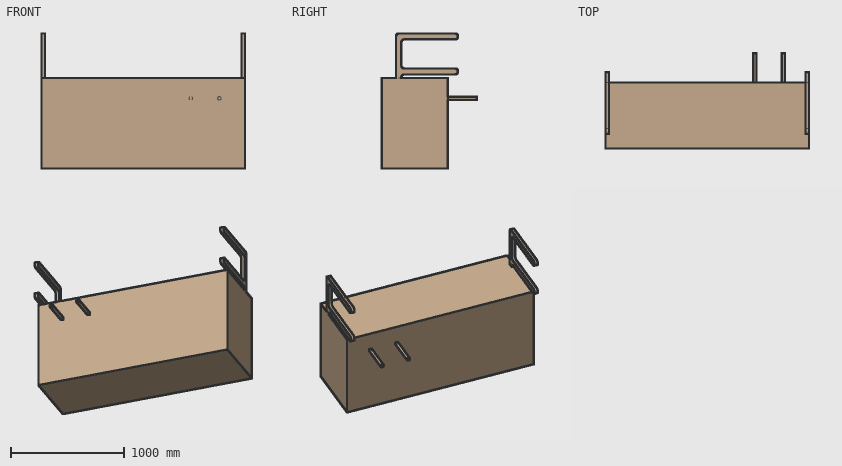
import cadquery as cq

box_width = 1799.0
box_depth = 586.0
box_height = 800.0

bracket_thickness = 32.0
bracket_height = 394.0
bracket_front = 128.0
post_depth = 49.0
arm_reach = 549.0
arm_height = 54.0
arm_spacing = 310.0
tip_radius = 25.0
corner_radius = 25.0

pin_diameter = 30.0
pin_length = 257.0
pin_drop = 180.0
pin_right_inset = 227.0
pin_spacing = 252.0

total_height = box_height + bracket_height
arm_bottoms = [
    total_height - arm_height,
    total_height - arm_spacing - arm_height,
]


def slab(y, z, depth, height):
    """Plate of bracket thickness, starting at X = 0."""
    return cq.Workplane("XY").box(bracket_thickness, depth, height, centered=False).translate((0, y, z))


def make_bracket():
    """Post with two rear-facing arms, rounded at tips and corners."""
    post_back = bracket_front + post_depth
    arm_tip = bracket_front + arm_reach
    bracket = slab(bracket_front, box_height, post_depth, bracket_height)
    for bottom in arm_bottoms:
        arm = slab(bracket_front, bottom, arm_reach, arm_height)
        bracket = bracket.union(arm)
    bracket = bracket.clean()

    edges = bracket.edges("|X")
    tips = edges.filter(lambda edge: edge.Center().y > arm_tip - post_depth)
    bracket = tips.fillet(tip_radius)

    edges = bracket.edges("|X")
    corners = edges.filter(
        lambda edge: edge.Center().y < post_back + post_depth
        and edge.Center().z > box_height + corner_radius / 2
    )
    return corners.fillet(corner_radius)


def make_pin(x):
    """Pin running backwards from the rear face of the box."""
    axis_plane = cq.Workplane("XZ", origin=(x, box_depth, box_height - pin_drop))
    return axis_plane.circle(pin_diameter / 2).extrude(-pin_length)


result = cq.Workplane("XY").box(box_width, box_depth, box_height, centered=(True, False, False))

bracket = make_bracket()
for left_side in (-box_width / 2, box_width / 2 - bracket_thickness):
    result = result.union(bracket.translate((left_side, 0, 0)))

near_pin_x = box_width / 2 - pin_right_inset
for pin_x in (near_pin_x, near_pin_x - pin_spacing):
    result = result.union(make_pin(pin_x))